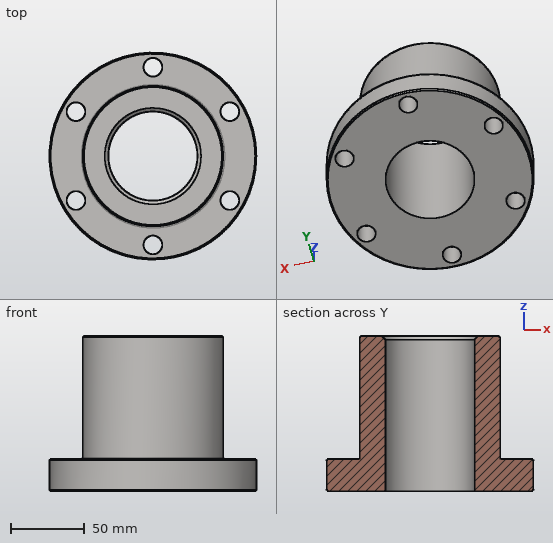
import cadquery as cq

flange_diameter = 140.0
flange_thickness = 22.0
total_height = 105.0
sleeve_diameter = 95.0
bore_diameter = 60.0
bore_chamfer = 2.5
edge_chamfer = 1.0
root_fillet = 1.0
bolt_count = 6
bolt_hole_diameter = 12.5
bolt_circle_diameter = 120.0
first_bolt_angle = 90.0


def flanged_sleeve():
    """Flange with a sleeve on top, outer edges chamfered and the root filleted."""
    flange = (
        cq.Workplane("XY")
        .circle(flange_diameter / 2)
        .extrude(flange_thickness)
        .edges()
        .chamfer(edge_chamfer)
    )
    sleeve = (
        cq.Workplane("XY")
        .circle(sleeve_diameter / 2)
        .extrude(total_height)
        .faces(">Z")
        .edges()
        .chamfer(edge_chamfer)
    )
    root_edge = cq.selectors.NearestToPointSelector((0, 0, flange_thickness))
    body = flange.union(sleeve)
    return body.edges("%CIRCLE").edges(root_edge).fillet(root_fillet)


def bore_cutter():
    """Through bore that widens to a chamfer at the top."""
    radius = bore_diameter / 2
    mouth_radius = radius + bore_chamfer
    return (
        cq.Workplane("XZ")
        .moveTo(0, 0)
        .lineTo(radius, 0)
        .lineTo(radius, total_height - bore_chamfer)
        .lineTo(mouth_radius, total_height)
        .lineTo(0, total_height)
        .close()
        .revolve(360, (0, 0, 0), (0, 1, 0))
    )


def bolt_hole_cutters():
    """Through holes evenly spaced around the flange."""
    return (
        cq.Workplane("XY")
        .polarArray(bolt_circle_diameter / 2, first_bolt_angle, 360, bolt_count)
        .circle(bolt_hole_diameter / 2)
        .extrude(flange_thickness)
    )


result = flanged_sleeve().cut(bore_cutter()).cut(bolt_hole_cutters())